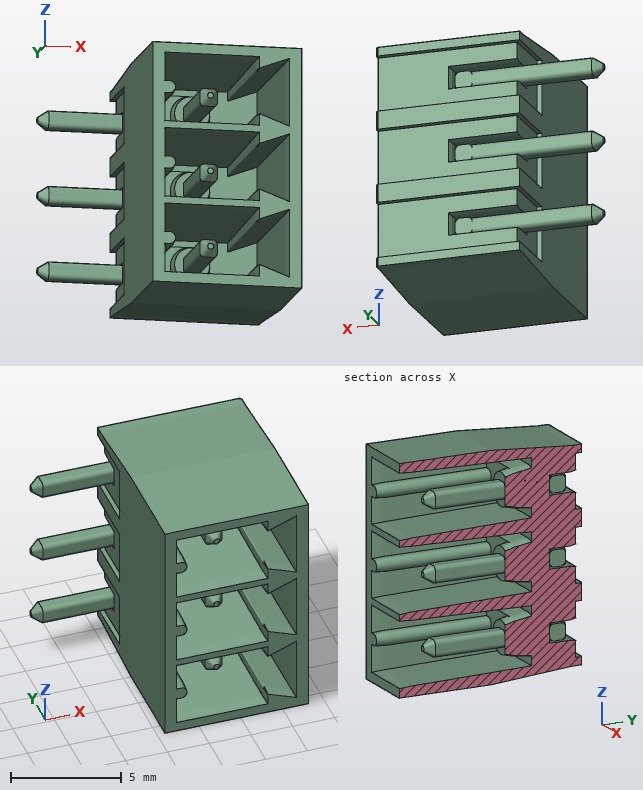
import cadquery as cq
import math


width = 6.88
depth = 9.2
height = 11.1
back_height = 10.46
taper_start = 4.61
back_band = 0.52
corner_chamfer = 0.09

pitch = 3.5
cell_count = 3
cell_centres = [(i - (cell_count - 1) / 2) * pitch for i in range(cell_count)]

cavity_left = 0.55
cavity_right = 6.3
cavity_half_height = 1.59
dovetail_x = 4.93
neck_half_height = 1.05
dovetail_half_height = 1.57
key_radius = 0.28
key_length = 0.5
lead_in_depth = 0.55
lead_in = 0.04
floor_y = 6.66
wall_draft = 0.13

boss_base_radius = 1.03
boss_top_radius = 0.91
boss_top_y = 5.77
collar_top_radius = 0.81
collar_top_y = 5.33
boss_root_x = 0.33

pin_size = 0.81
pin_corner = 0.2
pin_x = 2.96
pin_y = 7.99
contact_tip_y = 1.38
solder_tip_x = -3.62
tip_length = 0.44
tip_size = 0.27
tip_corner = 0.12

recess_height = 2.63
recess_depth = 0.22
recess_length = 3.02
back_step = 0.29
channel_height = 0.93
channel_end_gap = 0.07
flare = 0.07
flare_depth = 0.28


def facing_back(x, y, z):
    """Sketch plane that extrudes toward +Y; its local x is the part's X."""
    return cq.Workplane(cq.Plane(origin=(x, y, z), xDir=(1, 0, 0), normal=(0, 1, 0)))


def facing_front(x, y, z):
    """Sketch plane that extrudes toward -Y; its local axes are the part's X and Z."""
    return cq.Workplane(cq.Plane(origin=(x, y, z), xDir=(1, 0, 0), normal=(0, -1, 0)))


def box_between(x_range, y_range, z_centre, z_size):
    """Box spanning an X range and a Y range, centred on a height in Z."""
    x_size = x_range[1] - x_range[0]
    y_size = y_range[1] - y_range[0]
    corner = (x_range[0], y_range[0], z_centre - z_size / 2)
    return cq.Workplane("XY").box(x_size, y_size, z_size, centered=False).translate(corner)


def housing_block():
    """Solid housing whose top and bottom slope in toward a level band at the back."""
    half, back_half = height / 2, back_height / 2
    band_y = depth - back_band
    upper = [(0, half), (taper_start, half), (band_y, back_half), (depth, back_half)]
    lower = [(y, -z) for y, z in reversed(upper)]
    block = cq.Workplane("YZ").polyline(upper + lower).close().extrude(width)
    return block.edges("|Z and >X and >Y").chamfer(corner_chamfer)


def cavity_outline(plane):
    """Keyed cell outline with a dovetail on the right."""
    key_centre = cavity_left + key_length - key_radius
    return (
        plane.moveTo(cavity_left, cavity_half_height)
        .lineTo(dovetail_x, cavity_half_height)
        .lineTo(dovetail_x, neck_half_height)
        .lineTo(cavity_right, dovetail_half_height)
        .lineTo(cavity_right, -dovetail_half_height)
        .lineTo(dovetail_x, -neck_half_height)
        .lineTo(dovetail_x, -cavity_half_height)
        .lineTo(cavity_left, -cavity_half_height)
        .lineTo(cavity_left, -key_radius)
        .lineTo(key_centre, -key_radius)
        .threePointArc((key_centre + key_radius, 0), (key_centre, key_radius))
        .lineTo(cavity_left, key_radius)
        .close()
    )


def cavity(z):
    """Cell opening with a tapered lead-in at the mouth and straight walls behind it."""
    taper = math.degrees(math.atan(lead_in / lead_in_depth))
    mouth = cavity_outline(facing_back(0, 0, z)).extrude(lead_in_depth, taper=taper)
    inner = mouth.faces(">Y").wires().toPending().extrude(floor_y - lead_in_depth)
    return mouth.union(inner)


def wall_drafts(z):
    """Wedges that thicken the two cell walls toward the cavity floor."""
    wall = cavity_half_height - lead_in
    upper = (
        cq.Workplane("YZ", origin=(cavity_left, 0, z))
        .polyline([(lead_in_depth, wall), (floor_y, wall), (floor_y, wall - wall_draft)])
        .close()
        .extrude(dovetail_x - cavity_left)
    )
    return upper.union(upper.mirror("XY", (0, 0, z)))


def boss(z):
    """Drafted U-shaped pad on the cavity floor with a conical collar round the pin."""
    pad_height = floor_y - boss_top_y
    pad_taper = math.degrees(math.atan((boss_base_radius - boss_top_radius) / pad_height))
    pad = (
        facing_front(0, floor_y, z)
        .moveTo(boss_root_x, -boss_base_radius)
        .lineTo(pin_x, -boss_base_radius)
        .threePointArc((pin_x + boss_base_radius, 0), (pin_x, boss_base_radius))
        .lineTo(boss_root_x, boss_base_radius)
        .close()
        .extrude(pad_height, taper=pad_taper)
    )
    collar = (
        facing_front(pin_x, boss_top_y, z)
        .circle(boss_top_radius)
        .workplane(offset=boss_top_y - collar_top_y)
        .circle(collar_top_radius)
        .loft()
    )
    return pad.union(collar)


def rounded_square(size, corner):
    """Pin cross-section."""
    return cq.Sketch().rect(size, size).vertices().fillet(corner)


def pin_leg(start, direction, length):
    """Straight pin leg from the start point, ending in a pointed tip."""
    shank_length = length - tip_length
    plane = cq.Plane(origin=start, xDir=(0, 0, 1), normal=direction)
    section = rounded_square(pin_size, pin_corner)
    shank = cq.Workplane(plane).placeSketch(section).extrude(shank_length)
    end = rounded_square(tip_size, tip_corner).moved(cq.Location(cq.Vector(0, 0, tip_length)))
    tip = cq.Workplane(plane).workplane(offset=shank_length).placeSketch(section, end).loft(ruled=True)
    return shank.union(tip)


def pin(z):
    """Contact leg along Y joined at the back to a solder leg along X."""
    back = pin_y + pin_size / 2
    far = pin_x + pin_size / 2
    contact = pin_leg((pin_x, back, z), (0, -1, 0), back - contact_tip_y)
    solder = pin_leg((far, pin_y, z), (-1, 0, 0), far - solder_tip_x)
    return contact.union(solder)


def back_cutout(z):
    """Side recess, back step and the flared channel that receives the pin."""
    recess = box_between((0, recess_depth), (depth - recess_length, depth), z, recess_height)
    step_y = depth - back_step
    step = box_between((0, width), (step_y, depth), z, recess_height)

    channel_end = pin_x + pin_size / 2 + channel_end_gap
    channel = box_between((0, channel_end), (pin_y - pin_size / 2, step_y), z, channel_height)
    flare_length = channel_end + flare
    mouth = (
        facing_front(flare_length / 2, step_y, z)
        .rect(flare_length, channel_height + 2 * flare)
        .workplane(offset=flare_depth)
        .center(-flare / 2, 0)
        .rect(channel_end, channel_height)
        .loft(ruled=True)
    )
    return recess.union(step).union(channel).union(mouth)


result = housing_block()
for cell_z in cell_centres:
    result = result.cut(cavity(cell_z)).cut(back_cutout(cell_z))
    result = result.union(wall_drafts(cell_z)).union(boss(cell_z)).union(pin(cell_z))